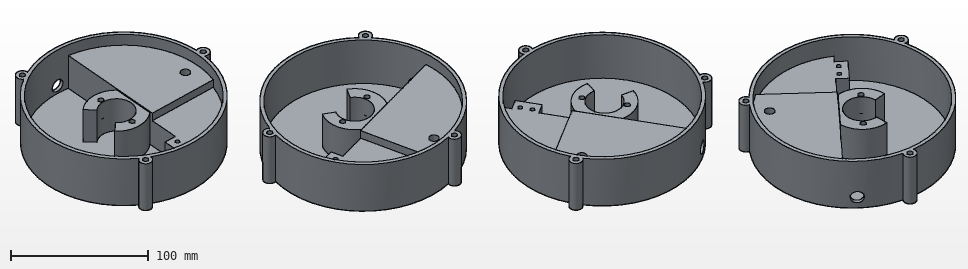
import cadquery as cq
import math

overall_length = 157.4
height = 43.0
outer_diameter = 150.0
inner_diameter = 144.0
floor_thickness = 3.0

lug_diameter = 10.2
lug_hole_diameter = 4.4
lug_angles = (90, 210, 330)
lug_circle_radius = overall_length - outer_diameter / 2 - lug_diameter / 2

platform_front_y = 9.9
platform_split_x = 20.0
high_platform_top = 33.0
low_platform_top = 26.1
platform_hole_diameter = 7.5
platform_hole_y = 60.0

block_left_x = 44.9
block_width = 20.1
block_front_y = 0.0
block_hole_diameter = 3.5
block_hole_y = 7.1
block_hole_spacing = 9.1
block_hole_depth = 15.7

holder_center_y = -7.1
holder_outer_radius = 24.2
holder_inner_radius = 14.2
holder_top = 32.6
holder_back_gap = 0.5
holder_hole_diameter = 4.4
holder_hole_spacing = 34.0
holder_hole_depth = 15.7

side_hole_diameter = 10.2
side_hole_z = 10.0


def cylinder(x, y, diameter, bottom, top):
    """Vertical cylinder between two levels."""
    return cq.Workplane("XY", origin=(x, y, bottom)).circle(diameter / 2).extrude(top - bottom)


def box(x_min, x_max, y_min, y_max, top):
    """Box standing on the underside of the housing."""
    return cq.Workplane("XY").box(x_max - x_min, y_max - y_min, top, centered=False).translate((x_min, y_min, 0))


def lug_positions():
    return [
        (lug_circle_radius * math.cos(math.radians(angle)), lug_circle_radius * math.sin(math.radians(angle)))
        for angle in lug_angles
    ]


def make_shell():
    shell = cylinder(0, 0, outer_diameter, 0, height)
    for x, y in lug_positions():
        shell = shell.union(cylinder(x, y, lug_diameter, 0, height))
    return shell.cut(cylinder(0, 0, inner_diameter, floor_thickness, height))


def make_platforms():
    """Two platform levels and the front block, trimmed to fit inside the wall."""
    reach = outer_diameter / 2
    high = box(-reach, platform_split_x, platform_front_y, reach, high_platform_top)
    low = box(platform_split_x, reach, platform_front_y, reach, low_platform_top)
    block = box(block_left_x, block_left_x + block_width, block_front_y, platform_front_y, low_platform_top)
    wall_middle_diameter = (outer_diameter + inner_diameter) / 2
    return high.union(low).union(block).intersect(cylinder(0, 0, wall_middle_diameter, 0, height))


def make_holder():
    """Ring with a flat back and a 90 degree opening towards -Y."""
    ring = cylinder(0, holder_center_y, 2 * holder_outer_radius, 0, holder_top)
    ring = ring.cut(cylinder(0, holder_center_y, 2 * holder_inner_radius, 0, holder_top))
    opening_reach = 2 * holder_outer_radius
    opening = (
        cq.Workplane("XY", origin=(0, holder_center_y, 0))
        .polyline([(0, 0), (-opening_reach, -opening_reach), (opening_reach, -opening_reach)])
        .close()
        .extrude(holder_top)
    )
    flat_y = platform_front_y - holder_back_gap
    behind_flat = box(
        -holder_outer_radius, holder_outer_radius, flat_y, holder_center_y + holder_outer_radius, holder_top
    )
    return ring.cut(opening).cut(behind_flat)


def cut_holes(body):
    for x, y in lug_positions():
        body = body.cut(cylinder(x, y, lug_hole_diameter, 0, height))
    body = body.cut(cylinder(0, platform_hole_y, platform_hole_diameter, 0, height))

    block_center_x = block_left_x + block_width / 2
    for side in (-1, 1):
        holder_x = side * holder_hole_spacing / 2
        holder_bottom = holder_top - holder_hole_depth
        body = body.cut(cylinder(holder_x, holder_center_y, holder_hole_diameter, holder_bottom, holder_top))
        block_x = block_center_x + side * block_hole_spacing / 2
        block_bottom = low_platform_top - block_hole_depth
        body = body.cut(cylinder(block_x, block_hole_y, block_hole_diameter, block_bottom, low_platform_top))

    side_hole = (
        cq.Workplane("YZ", origin=(-outer_diameter / 2, 0, side_hole_z))
        .circle(side_hole_diameter / 2)
        .extrude(outer_diameter / 2 - holder_outer_radius - side_hole_diameter)
    )
    return body.cut(side_hole)


result = cut_holes(make_shell().union(make_platforms()).union(make_holder()))